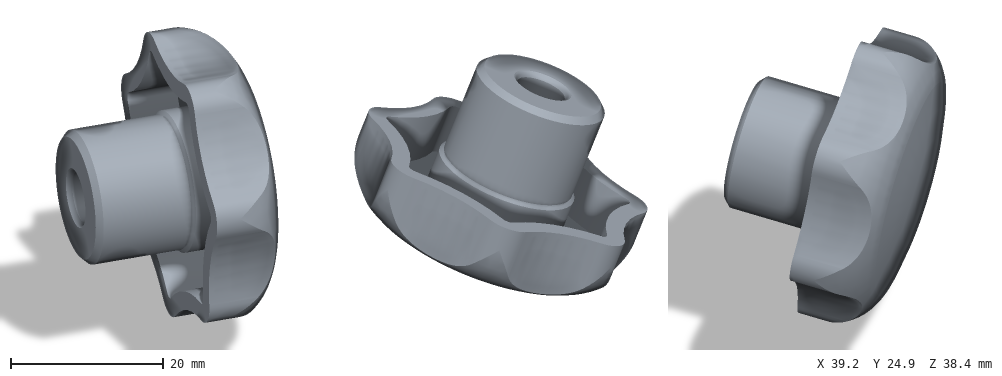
import cadquery as cq
import math


LOBES = 7
LOBE_RADIUS = 3.52
HALF_WIDTH = 19.58
VALLEY_DISTANCE = 17.05
WALL = 2.5

CROWN_HEIGHT = 12.0
DOME_EDGE_HEIGHT = 10.15
DOME_EDGE_RADIUS = 14.65
CAVITY_DEPTH = 6.85

HUB_LENGTH = 12.95
HUB_DIAMETER = 18.0
HUB_ROOT_DIAMETER = 19.0
HUB_CHAMFER = 0.82

HOLE_DIAMETER = 6.65
COUNTERSINK_DIAMETER = 8.0
HOLE_DEPTH = 14.9
HOLE_BOTTOM_ANGLE = 170.0

PITCH = 2 * math.pi / LOBES
WIDEST_LOBE_ANGLE = 2 * PITCH - math.pi / 2
LOBE_CENTER = (HALF_WIDTH - LOBE_RADIUS) / math.cos(WIDEST_LOBE_ANGLE)
TIP_RADIUS = LOBE_CENTER + LOBE_RADIUS


def valley_radius():
    """Radius of the scallop arc that is tangent to the two lobes beside it."""
    across = LOBE_CENTER * math.sin(PITCH / 2)
    drop = VALLEY_DISTANCE - LOBE_CENTER * math.cos(PITCH / 2)
    return (across**2 + drop**2 - LOBE_RADIUS**2) / (2 * (LOBE_RADIUS - drop))


def polar(radius, angle):
    return (radius * math.cos(angle), radius * math.sin(angle))


def star(inset, depth):
    """Star prism from the rim plane toward +Y, with its outline moved inward by inset."""
    lobe = LOBE_RADIUS - inset
    scallop = valley_radius() + inset
    valley_center = VALLEY_DISTANCE + valley_radius()
    share = lobe / (lobe + scallop)
    across = valley_center * math.sin(PITCH / 2) * share
    along = LOBE_CENTER + (valley_center * math.cos(PITCH / 2) - LOBE_CENTER) * share
    tangent_radius = math.hypot(along, across)
    tangent_angle = math.atan2(across, along)

    first_angle = -math.pi / 2
    outline = cq.Workplane("XZ").moveTo(*polar(tangent_radius, first_angle - tangent_angle))
    for index in range(LOBES):
        angle = first_angle + index * PITCH
        outline = outline.threePointArc(
            polar(LOBE_CENTER + lobe, angle),
            polar(tangent_radius, angle + tangent_angle),
        )
        outline = outline.threePointArc(
            polar(VALLEY_DISTANCE - inset, angle + PITCH / 2),
            polar(tangent_radius, angle + PITCH - tangent_angle),
        )
    return outline.close().extrude(-depth)


def revolve_about_y(profile):
    return profile.close().revolve(360, (0, 0, 0), (0, 1, 0))


def crown_envelope():
    """Turned blank: upright side, shoulder arc tangent to the side and a shallow dome."""
    rise = CROWN_HEIGHT - DOME_EDGE_HEIGHT
    dome_radius = (DOME_EDGE_RADIUS**2 + rise**2) / (2 * rise)
    edge_slope = math.asin(DOME_EDGE_RADIUS / dome_radius)
    shoulder_radius = (TIP_RADIUS - DOME_EDGE_RADIUS) / (1 - math.sin(edge_slope))
    shoulder_height = DOME_EDGE_HEIGHT - shoulder_radius * math.cos(edge_slope)
    shoulder_x = TIP_RADIUS - shoulder_radius
    middle_angle = (math.pi / 2 - edge_slope) / 2
    half_slope = edge_slope / 2
    profile = (
        cq.Workplane("XY")
        .lineTo(TIP_RADIUS, 0)
        .lineTo(TIP_RADIUS, shoulder_height)
        .threePointArc(
            (
                shoulder_x + shoulder_radius * math.cos(middle_angle),
                shoulder_height + shoulder_radius * math.sin(middle_angle),
            ),
            (DOME_EDGE_RADIUS, DOME_EDGE_HEIGHT),
        )
        .threePointArc(
            (
                dome_radius * math.sin(half_slope),
                CROWN_HEIGHT - dome_radius * (1 - math.cos(half_slope)),
            ),
            (0, CROWN_HEIGHT),
        )
    )
    return revolve_about_y(profile)


def hub():
    """Hub from the cavity floor to its chamfered end, with a conical step at the rim plane."""
    radius = HUB_DIAMETER / 2
    root_radius = HUB_ROOT_DIAMETER / 2
    step = root_radius - radius
    profile = (
        cq.Workplane("XY")
        .moveTo(0, -HUB_LENGTH)
        .lineTo(radius - HUB_CHAMFER, -HUB_LENGTH)
        .lineTo(radius, HUB_CHAMFER - HUB_LENGTH)
        .lineTo(radius, 0)
        .lineTo(root_radius, step)
        .lineTo(root_radius, CAVITY_DEPTH)
        .lineTo(0, CAVITY_DEPTH)
    )
    return revolve_about_y(profile)


def blind_hole():
    """Countersunk hole with a shallow conical bottom."""
    radius = HOLE_DIAMETER / 2
    mouth_radius = COUNTERSINK_DIAMETER / 2
    point_length = radius / math.tan(math.radians(HOLE_BOTTOM_ANGLE / 2))
    bottom = HOLE_DEPTH - HUB_LENGTH
    profile = (
        cq.Workplane("XY")
        .moveTo(0, -HUB_LENGTH)
        .lineTo(mouth_radius, -HUB_LENGTH)
        .lineTo(radius, mouth_radius - radius - HUB_LENGTH)
        .lineTo(radius, bottom)
        .lineTo(0, bottom + point_length)
    )
    return revolve_about_y(profile)


crown = star(0, CROWN_HEIGHT).intersect(crown_envelope())
shell = crown.cut(star(WALL, CAVITY_DEPTH))
result = shell.union(hub()).cut(blind_hole())